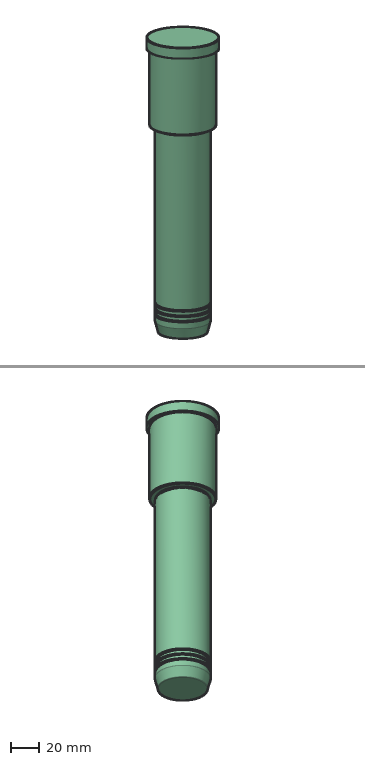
import cadquery as cq

total_length = 220.0

head_radius = 26.0
head_length = 8.1
head_chamfer = 0.5

sleeve_radius = 24.0
sleeve_end = 154.0
sleeve_chamfer = 0.7
sleeve_fillet = 0.5

shaft_radius = 20.0

neck_radius = 19.1
neck_length = 1.43

groove_count = 3
groove_radius = 0.55
groove_pitch = 4.0
lowest_groove_center = 13.6

tip_length = 8.4
tip_radius = 17.8
tip_fillet = 0.5


def cylinder(radius, bottom, top):
    """Solid cylinder on the Z axis between two heights."""
    return cq.Workplane("XY").workplane(offset=bottom).circle(radius).extrude(top - bottom)


def make_head():
    head = cylinder(head_radius, total_length - head_length, total_length)
    return head.faces(">Z").edges().chamfer(head_chamfer)


def make_sleeve():
    sleeve = cylinder(sleeve_radius, sleeve_end, total_length - head_length)
    sleeve = sleeve.faces("<Z").edges().chamfer(sleeve_chamfer)
    return sleeve.faces(">Z").edges().fillet(sleeve_fillet)


def make_neck():
    return cylinder(neck_radius, sleeve_end - neck_length, sleeve_end)


def make_groove(center):
    """Round ring that cuts one half-round groove into the shaft."""
    return (
        cq.Workplane("XZ")
        .center(shaft_radius, center)
        .circle(groove_radius)
        .revolve(360, (-shaft_radius, 0), (-shaft_radius, 1))
    )


def make_shaft():
    shaft = cylinder(shaft_radius, tip_length, sleeve_end - neck_length)
    for index in range(groove_count):
        shaft = shaft.cut(make_groove(lowest_groove_center + index * groove_pitch))
    return shaft


def make_tip():
    tip = (
        cq.Workplane("XY")
        .circle(tip_radius)
        .workplane(offset=tip_length)
        .circle(shaft_radius)
        .loft(ruled=True)
    )
    return tip.faces("<Z").edges().fillet(tip_fillet)


result = make_shaft().union(make_tip()).union(make_neck()).union(make_sleeve()).union(make_head())